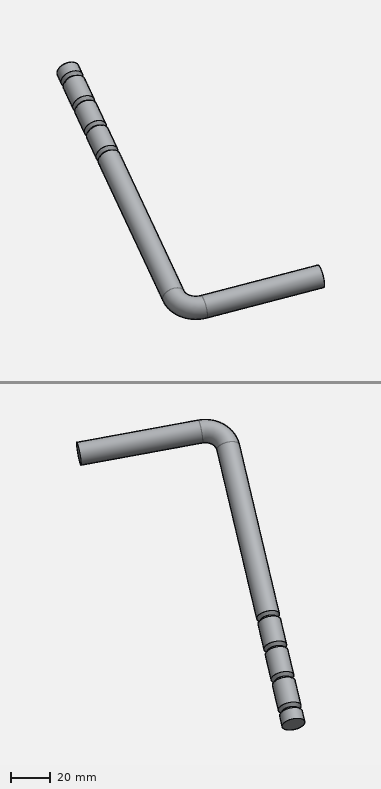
import cadquery as cq

length_x = 181.0
length_y = 81.0
bar_diameter = 12.0
bar_radius = bar_diameter / 2
bend_radius = 12.0

groove_count = 4
first_groove_x = 8.0
groove_row_length = 54.0
groove_pitch = groove_row_length / (groove_count - 1)
groove_depth = 1.6
groove_half_width = groove_depth


def bent_bar():
    """Sweep the round section along the long arm, the bend and the short arm."""
    bend_start_x = length_x - bar_radius - bend_radius
    short_arm_end_y = length_y - bar_radius
    path = (
        cq.Workplane("XY")
        .moveTo(0, 0)
        .lineTo(bend_start_x, 0)
        .radiusArc((bend_start_x + bend_radius, bend_radius), -bend_radius)
        .lineTo(bend_start_x + bend_radius, short_arm_end_y)
    )
    return cq.Workplane("YZ").circle(bar_radius).sweep(path)


def groove_cutter(center_x):
    """V-section ring around the X axis; its sides continue past the bar surface."""
    clearance = 0.9
    mouth_half_width = groove_half_width * (1 + clearance / groove_depth)
    mouth_radius = bar_radius + clearance
    return (
        cq.Workplane("XY")
        .moveTo(center_x - mouth_half_width, mouth_radius)
        .lineTo(center_x, bar_radius - groove_depth)
        .lineTo(center_x + mouth_half_width, mouth_radius)
        .close()
        .revolve(360, (0, 0, 0), (1, 0, 0))
    )


result = bent_bar()
for index in range(groove_count):
    result = result.cut(groove_cutter(first_groove_x + index * groove_pitch))